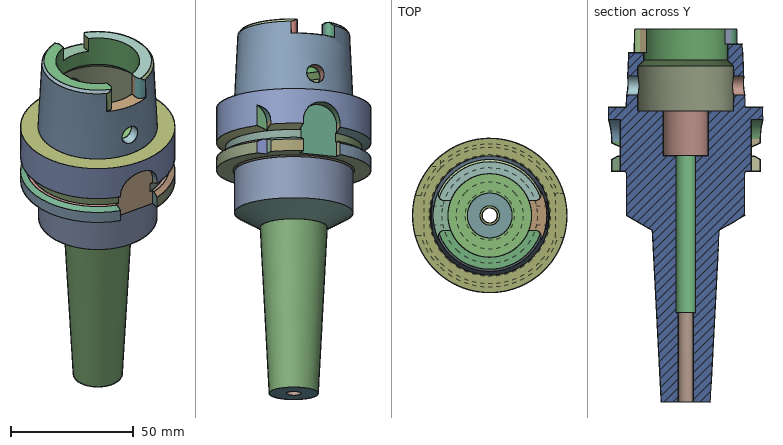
import cadquery as cq
import math

TOTAL_LENGTH = 152.0
NECK_TOP = 69.9
BODY_TOP = 76.0
FLANGE_BOTTOM = 94.0
FLANGE_TOP = 120.1

TIP_RADIUS = 10.0
NECK_RADIUS = 13.7
BODY_RADIUS = 24.2
FLANGE_RADIUS = 31.5
SHANK_BASE_RADIUS = 24.3
SHANK_TOP_RADIUS = 22.8
RIM_CHAMFER = 0.9
RIM_CHAMFER_HEIGHT = 1.2
BODY_FLARE = 0.6

GROOVE_CENTER = 102.0
GROOVE_RADIUS = 27.8
GROOVE_FLOOR_WIDTH = 3.6
GROOVE_UPPER_BEVEL = 1.7
GROOVE_LOWER_BEVEL = 1.4
LOWER_LIP_RADIUS = 29.2

MOUTH_RADIUS = 17.0
MOUTH_DEPTH = 12.8
CLAMP_RADIUS = 19.5
CLAMP_FLOOR = 118.5
POCKET_RADIUS = 9.1
POCKET_FLOOR = 100.3
RELIEF_RADIUS = 4.0
TOOL_BORE_RADIUS = 3.0
TOOL_BORE_LENGTH = 36.5

CROSS_HOLE_RADIUS = 3.8
CROSS_HOLE_Z = 128.9

KEYWAY_HALF_WIDTH = 6.1
KEYWAY_CORNER_RADIUS = 2.5
KEYWAY_DEPTH_LEFT = 6.2
KEYWAY_DEPTH_RIGHT = 9.7

SLOT_FLOOR = 26.8
SLOT_TOP = 115.0
SLOT_WIDTH_LEFT = 16.1
SLOT_WIDTH_RIGHT = 18.0

NOTCH_FLOOR = 20.0
NOTCH_INNER_Y = 19.9
NOTCH_RADIUS = 8.0


def make_outside():
    """Revolved outer shape from the tool tip to the shank rim."""
    groove_low = GROOVE_CENTER - GROOVE_FLOOR_WIDTH / 2
    groove_high = GROOVE_CENTER + GROOVE_FLOOR_WIDTH / 2
    profile = [
        (0, 0),
        (TIP_RADIUS, 0),
        (NECK_RADIUS, NECK_TOP),
        (BODY_RADIUS, BODY_TOP),
        (BODY_RADIUS, FLANGE_BOTTOM - BODY_FLARE),
        (BODY_RADIUS + BODY_FLARE, FLANGE_BOTTOM),
        (FLANGE_RADIUS, FLANGE_BOTTOM),
        (FLANGE_RADIUS, groove_low - GROOVE_LOWER_BEVEL),
        (LOWER_LIP_RADIUS, groove_low),
        (GROOVE_RADIUS, groove_low),
        (GROOVE_RADIUS, groove_high),
        (FLANGE_RADIUS, groove_high + GROOVE_UPPER_BEVEL),
        (FLANGE_RADIUS, FLANGE_TOP),
        (SHANK_BASE_RADIUS, FLANGE_TOP),
        (SHANK_TOP_RADIUS, TOTAL_LENGTH - RIM_CHAMFER_HEIGHT),
        (SHANK_TOP_RADIUS - RIM_CHAMFER, TOTAL_LENGTH),
        (0, TOTAL_LENGTH),
    ]
    return cq.Workplane("XZ").polyline(profile).close().revolve(360, (0, 0), (0, 1))


def make_bores():
    """Stepped bore along the axis, widest in the hollow shank."""
    mouth_bottom = TOTAL_LENGTH - MOUTH_DEPTH
    profile = [
        (0, 0),
        (TOOL_BORE_RADIUS, 0),
        (TOOL_BORE_RADIUS, TOOL_BORE_LENGTH),
        (RELIEF_RADIUS, TOOL_BORE_LENGTH),
        (RELIEF_RADIUS, POCKET_FLOOR),
        (POCKET_RADIUS, POCKET_FLOOR),
        (POCKET_RADIUS, CLAMP_FLOOR),
        (CLAMP_RADIUS, CLAMP_FLOOR),
        (CLAMP_RADIUS, mouth_bottom - (CLAMP_RADIUS - MOUTH_RADIUS)),
        (MOUTH_RADIUS, mouth_bottom),
        (MOUTH_RADIUS, TOTAL_LENGTH),
        (0, TOTAL_LENGTH),
    ]
    return cq.Workplane("XZ").polyline(profile).close().revolve(360, (0, 0), (0, 1))


def make_keyway(side, depth):
    """Rim keyway on the +X (side=1) or -X (side=-1) side, flaring out round at its mouth."""
    half = KEYWAY_HALF_WIDTH
    radius = KEYWAY_CORNER_RADIUS
    corner_y = half + radius
    corner_x = math.sqrt((SHANK_TOP_RADIUS - radius) ** 2 - corner_y**2)
    reach = radius / math.hypot(corner_x, corner_y)
    end = (corner_x * (1 + reach), corner_y * (1 + reach))
    middle_angle = (math.atan2(corner_y, corner_x) - math.pi / 2) / 2
    middle = (
        corner_x + radius * math.cos(middle_angle),
        corner_y + radius * math.sin(middle_angle),
    )
    outer = FLANGE_RADIUS
    return (
        cq.Workplane("XY", origin=(0, 0, TOTAL_LENGTH - depth))
        .moveTo(0, -half)
        .lineTo(side * corner_x, -half)
        .threePointArc((side * middle[0], -middle[1]), (side * end[0], -end[1]))
        .lineTo(side * outer, -end[1])
        .lineTo(side * outer, end[1])
        .lineTo(side * end[0], end[1])
        .threePointArc((side * middle[0], middle[1]), (side * corner_x, half))
        .lineTo(0, half)
        .close()
        .extrude(depth)
    )


def make_arched_cutter(side, floor, center_y, width):
    """Arch-topped cutter entering the flange along X and stopping at the given floor."""
    radius = width / 2
    arch_z = SLOT_TOP - radius
    return (
        cq.Workplane("YZ", origin=(side * floor, 0, 0))
        .moveTo(center_y - radius, FLANGE_BOTTOM)
        .lineTo(center_y - radius, arch_z)
        .threePointArc((center_y, SLOT_TOP), (center_y + radius, arch_z))
        .lineTo(center_y + radius, FLANGE_BOTTOM)
        .close()
        .extrude(side * FLANGE_RADIUS)
    )


def make_cross_hole():
    """Radial hole along X through both shank walls."""
    return (
        cq.Workplane("YZ", origin=(0, 0, CROSS_HOLE_Z))
        .circle(CROSS_HOLE_RADIUS)
        .extrude(FLANGE_RADIUS, both=True)
    )


result = make_outside().cut(make_bores()).cut(make_cross_hole())
for side, depth in ((-1, KEYWAY_DEPTH_LEFT), (1, KEYWAY_DEPTH_RIGHT)):
    result = result.cut(make_keyway(side, depth))
for side, width in ((-1, SLOT_WIDTH_LEFT), (1, SLOT_WIDTH_RIGHT)):
    result = result.cut(make_arched_cutter(side, SLOT_FLOOR, 0, width))
notch_y = NOTCH_INNER_Y + NOTCH_RADIUS
result = result.cut(make_arched_cutter(-1, NOTCH_FLOOR, notch_y, 2 * NOTCH_RADIUS))